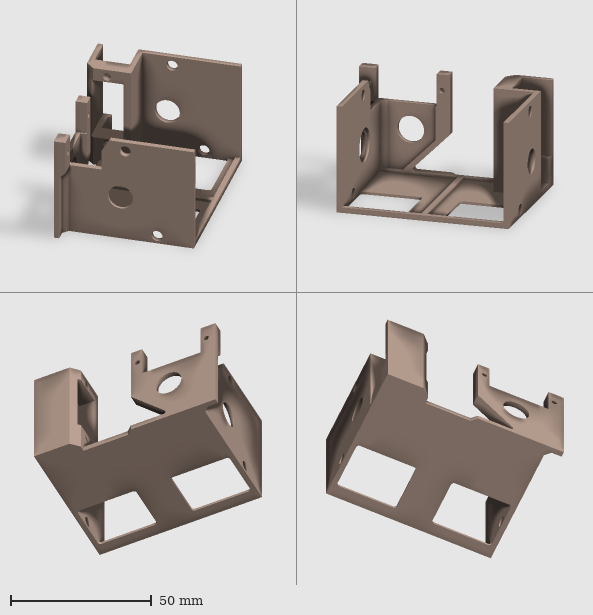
import cadquery as cq

LENGTH_X = 53.2
LENGTH_Y = 70.0
HEIGHT = 39.6
WALL = 2.0
BACK_INNER_Y = 68.05

BASE_LEFT = 5.25
FLOOR = 1.0
DIVIDER_FRONT = 36.9
WINDOW_LEFT = 30.65
WINDOW_RIGHT = 48.65
WINDOW_LENGTH = 23.1
WINDOW_RADIUS = 1.05

FRONT_WALL_Y = 5.95
FRONT_INNER_Y = FRONT_WALL_Y + WALL
MOUNT_LEFT = 3.3
MOUNT_BACK = 33.4
POST_INNER = 7.55
NOTCH_Z = 27.15
NOTCH_BACK = 28.9
FRONT_NOTCH_X = 19.25
FRONT_SLOPE_X = 22.1
FRONT_SLOPE_Z = 34.85
CUTAWAY_TOP_Z = 16.95
CUTAWAY_CORNER_Y = 19.75
CUTAWAY_RADIUS = 0.85
GUSSET_FRONT = 15.7
GUSSET_BACK = 28.4

BOX_RIGHT = 17.0
BOX_FRONT = 53.0
BOX_INNER_FRONT = 59.0
BOX_CHAMFER = 3.0
BOX_WINDOW_LEFT = 2.1
BOX_WINDOW_RIGHT = 14.2
BOX_WINDOW_BOTTOM = 11.2
BOX_WINDOW_TOP = 34.65
BOX_POCKET_LEFT = 4.3
BOX_POCKET_FRONT = 60.05
BOX_POCKET_FLOOR = 0.5

PIVOT_DIAMETER = 9.2
PIVOT_RECESS_DIAMETER = 12.6
PIVOT_RECESS_DEPTH = WALL / 2
PIVOT_CENTER = (26.2, 16.9)
BOLT_DIAMETER = 4.05
BOLT_CENTERS = [(27.9, 36.0), (39.6, 3.0)]
MOUNT_HOLE_DIAMETER = 10.0
MOUNT_HOLE_CENTER = (18.5, 17.2)
POST_HOLE_DIAMETER = 2.0
POST_HOLE_CENTERS = [(3.7, 33.6), (30.9, 33.6)]
SCREW_DIAMETER = 2.0
SCREW_RIM_DIAMETER = 3.0
SCREW_RIM_DEPTH = 0.5
SCREW_DEPTH = 3.5
SCREW_TIP_DEPTH = 4.2
SCREW_SPACING = 27.6


def block(x0, x1, y0, y1, z0, z1):
    """Box between two opposite corners."""
    return cq.Workplane("XY").box(x1 - x0, y1 - y0, z1 - z0, centered=False).translate((x0, y0, z0))


def plate_x(points, x0, x1):
    """Extrude an outline of (y, z) points from x0 to x1."""
    return cq.Workplane("YZ").workplane(offset=x0).polyline(points).close().extrude(x1 - x0)


def plate_y(points, y0, y1):
    """Extrude an outline of (x, z) points from y0 to y1."""
    return cq.Workplane("XZ").workplane(offset=-y1).polyline(points).close().extrude(y1 - y0)


def plate_z(points, z0, z1):
    """Extrude an outline of (x, y) points from z0 to z1."""
    return cq.Workplane("XY").workplane(offset=z0).polyline(points).close().extrude(z1 - z0)


def make_base():
    """Tray with two shallow pockets, each with a rounded window through it."""
    base = plate_z(
        [
            (MOUNT_LEFT, FRONT_WALL_Y),
            (LENGTH_X, FRONT_WALL_Y),
            (LENGTH_X, LENGTH_Y),
            (BASE_LEFT, LENGTH_Y),
            (BASE_LEFT, MOUNT_BACK + WALL),
            (MOUNT_LEFT, MOUNT_BACK),
        ],
        0,
        WALL,
    )
    pocket_right = LENGTH_X - WALL
    pocket_left = BASE_LEFT + WALL
    base = base.cut(block(POST_INNER, pocket_right, FRONT_INNER_Y, DIVIDER_FRONT, FLOOR, WALL))
    base = base.cut(block(pocket_left, POST_INNER, FRONT_INNER_Y, GUSSET_FRONT, FLOOR, WALL))
    base = base.cut(block(pocket_left, pocket_right, DIVIDER_FRONT + WALL, BACK_INNER_Y, FLOOR, WALL))
    for front in (FRONT_INNER_Y, BACK_INNER_Y - WINDOW_LENGTH):
        window = block(WINDOW_LEFT, WINDOW_RIGHT, front, front + WINDOW_LENGTH, 0, WALL)
        base = base.cut(window.edges("|Z").fillet(WINDOW_RADIUS))
    return base


def make_front_wall():
    """Front wall with its upper left corner stepped down."""
    return plate_y(
        [
            (MOUNT_LEFT, 0),
            (LENGTH_X, 0),
            (LENGTH_X, HEIGHT),
            (FRONT_SLOPE_X, HEIGHT),
            (FRONT_NOTCH_X, FRONT_SLOPE_Z),
            (FRONT_NOTCH_X, NOTCH_Z),
            (MOUNT_LEFT, NOTCH_Z),
        ],
        FRONT_WALL_Y,
        FRONT_INNER_Y,
    )


def make_mount_wall():
    """Left wall with two thick posts, a sloped gusset and a corner cut away."""
    wall = block(MOUNT_LEFT, BASE_LEFT, 0, MOUNT_BACK, 0, HEIGHT)
    front_post = plate_y(
        [
            (BASE_LEFT, NOTCH_Z - (POST_INNER - BASE_LEFT)),
            (POST_INNER, NOTCH_Z),
            (POST_INNER, HEIGHT),
            (BASE_LEFT, HEIGHT),
        ],
        0,
        FRONT_WALL_Y,
    )
    gusset = plate_x(
        [
            (GUSSET_FRONT, 0),
            (MOUNT_BACK, 0),
            (MOUNT_BACK, HEIGHT),
            (NOTCH_BACK, HEIGHT),
            (NOTCH_BACK, NOTCH_Z),
            (GUSSET_BACK, NOTCH_Z),
            (GUSSET_BACK, WALL + GUSSET_BACK - GUSSET_FRONT),
            (GUSSET_FRONT, WALL),
        ],
        BASE_LEFT,
        POST_INNER,
    )
    wall = wall.union(front_post).union(gusset)
    wall = wall.cut(block(MOUNT_LEFT, BASE_LEFT, FRONT_WALL_Y, NOTCH_BACK, NOTCH_Z, HEIGHT))
    cutaway = plate_x(
        [
            (MOUNT_BACK, WALL),
            (MOUNT_BACK, CUTAWAY_TOP_Z),
            (CUTAWAY_CORNER_Y, CUTAWAY_TOP_Z - MOUNT_BACK + CUTAWAY_CORNER_Y),
            (CUTAWAY_CORNER_Y, WALL),
        ],
        MOUNT_LEFT,
        POST_INNER,
    )
    cutaway = cutaway.edges("|X and <Y").fillet(CUTAWAY_RADIUS)
    return wall.cut(cutaway)


def make_corner_fillers():
    """Strips that reinforce both sides of the front left corner."""
    x, xe = BASE_LEFT, BASE_LEFT + WALL
    inside = plate_z([(x, FRONT_INNER_Y), (xe, FRONT_INNER_Y), (x, FRONT_INNER_Y + WALL)], 0, NOTCH_Z)
    outside = plate_z([(x, FRONT_WALL_Y), (xe, FRONT_WALL_Y), (x, FRONT_WALL_Y - WALL)], 0, NOTCH_Z)
    return inside.union(outside)


def make_screw_hole(z):
    """Blind screw hole with a widened mouth and a conical tip."""
    rim_y = BOX_FRONT + SCREW_RIM_DEPTH
    center_x = (BOX_WINDOW_LEFT + BOX_WINDOW_RIGHT) / 2
    profile = [
        (0, BOX_FRONT),
        (SCREW_RIM_DIAMETER / 2, BOX_FRONT),
        (SCREW_DIAMETER / 2, rim_y),
        (SCREW_DIAMETER / 2, BOX_FRONT + SCREW_DEPTH),
        (0, BOX_FRONT + SCREW_TIP_DEPTH),
    ]
    hole = cq.Workplane("XY").polyline(profile).close().revolve(360, (0, 0, 0), (0, 1, 0))
    return hole.translate((center_x, 0, z))


def make_box():
    """Box open at the back and top: thick windowed front and an inner ledge at the window sill."""
    box = plate_z(
        [
            (0, LENGTH_Y),
            (0, BOX_FRONT + BOX_CHAMFER),
            (BOX_CHAMFER, BOX_FRONT),
            (BOX_RIGHT, BOX_FRONT),
            (BOX_RIGHT, LENGTH_Y),
        ],
        0,
        HEIGHT,
    )
    inner_right = BOX_RIGHT - WALL
    box = box.cut(block(WALL, inner_right, BOX_INNER_FRONT, LENGTH_Y, FLOOR, HEIGHT))
    box = box.union(block(WALL, BOX_WINDOW_RIGHT, BOX_INNER_FRONT, BOX_POCKET_FRONT, 0, BOX_WINDOW_BOTTOM))
    box = box.union(block(WALL, BASE_LEFT, BOX_INNER_FRONT, LENGTH_Y, 0, BOX_WINDOW_BOTTOM))
    box = box.union(block(BASE_LEFT, inner_right, BACK_INNER_Y, LENGTH_Y, 0, WALL))
    box = box.union(block(BOX_WINDOW_RIGHT, inner_right, BOX_INNER_FRONT, BOX_POCKET_FRONT, 0, WALL))
    box = box.cut(
        block(BOX_POCKET_LEFT, inner_right, BOX_POCKET_FRONT, BACK_INNER_Y, BOX_POCKET_FLOOR, HEIGHT)
    )
    box = box.cut(
        block(
            BOX_WINDOW_LEFT,
            BOX_WINDOW_RIGHT,
            BOX_FRONT,
            BOX_INNER_FRONT,
            BOX_WINDOW_BOTTOM,
            BOX_WINDOW_TOP,
        )
    )
    middle_z = (BOX_WINDOW_BOTTOM + BOX_WINDOW_TOP) / 2
    for z in (middle_z - SCREW_SPACING / 2, middle_z + SCREW_SPACING / 2):
        box = box.cut(make_screw_hole(z))
    return box


def drill_y(body, center, diameter, y0, y1):
    """Drill from y0 to y1 at an (x, z) center."""
    cutter = cq.Workplane("XZ").workplane(offset=-y0).center(*center).circle(diameter / 2).extrude(y0 - y1)
    return body.cut(cutter)


def drill_mount(body, center, diameter):
    """Drill through the left wall and its posts at a (y, z) center."""
    cutter = cq.Workplane("YZ").center(*center).circle(diameter / 2).extrude(POST_INNER)
    return body.cut(cutter)


base = make_base().cut(block(0, BOX_RIGHT - WALL, BOX_INNER_FRONT, LENGTH_Y, 0, WALL))
back_wall = block(BOX_RIGHT - WALL, LENGTH_X, BACK_INNER_Y, LENGTH_Y, 0, HEIGHT)

mount = make_mount_wall().union(make_corner_fillers())
mount = drill_mount(mount, MOUNT_HOLE_CENTER, MOUNT_HOLE_DIAMETER)
for hole in POST_HOLE_CENTERS:
    mount = drill_mount(mount, hole, POST_HOLE_DIAMETER)

result = base.union(make_front_wall()).union(back_wall).union(mount).union(make_box())

for y0, y1 in ((FRONT_WALL_Y, FRONT_INNER_Y), (BACK_INNER_Y, LENGTH_Y)):
    result = drill_y(result, PIVOT_CENTER, PIVOT_DIAMETER, y0, y1)
    for bolt in BOLT_CENTERS:
        result = drill_y(result, bolt, BOLT_DIAMETER, y0, y1)

recess_y = FRONT_INNER_Y - PIVOT_RECESS_DEPTH
result = drill_y(result, PIVOT_CENTER, PIVOT_RECESS_DIAMETER, recess_y, FRONT_INNER_Y)